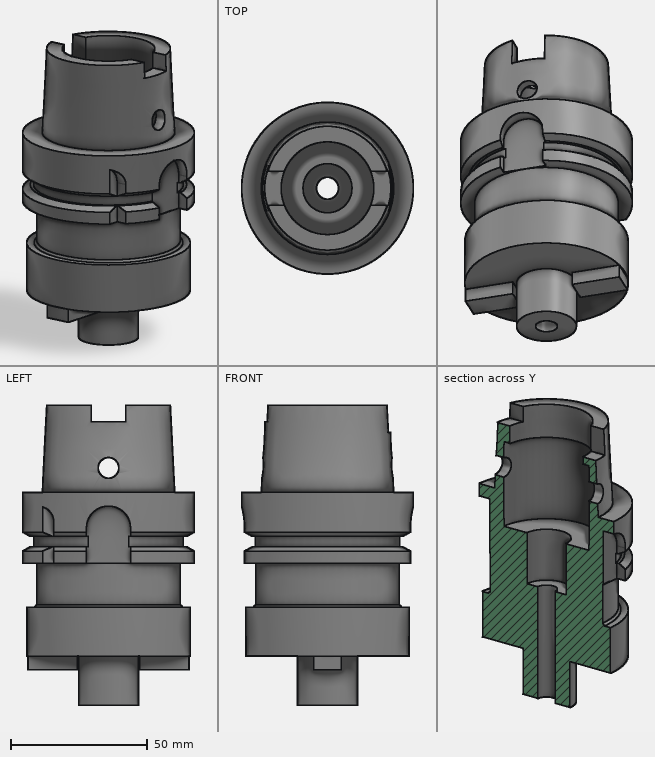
import cadquery as cq
import math


TAPER_LENGTH = 32.0
TAPER_BASE_RADIUS = 24.3
TAPER_SLOPE = 1 / 20
TAPER_TOP_RADIUS = TAPER_BASE_RADIUS - TAPER_SLOPE * TAPER_LENGTH

FLANGE_RADIUS = 31.5
FLANGE_BOTTOM_Z = -26.0
GROOVE_CENTRE_Z = -18.0
GROOVE_FLOOR_RADIUS = 27.5
GROOVE_FLOOR_WIDTH = 3.75
GROOVE_MOUTH_WIDTH = 7.0
GROOVE_SIDE_ANGLE = math.radians(30)
GROOVE_SIDE_HEIGHT = (GROOVE_MOUTH_WIDTH - GROOVE_FLOOR_WIDTH) / 2
GROOVE_LIP_RADIUS = FLANGE_RADIUS - GROOVE_SIDE_HEIGHT / math.tan(GROOVE_SIDE_ANGLE)

NECK_RADIUS = 26.35
NECK_FLARE = 0.9
COLLAR_RADIUS = 30.0
COLLAR_TOP_Z = -42.0
COLLAR_BOTTOM_Z = -60.0
PILOT_RADIUS = 11.0
PILOT_LENGTH = 18.0
PILOT_BOTTOM_Z = COLLAR_BOTTOM_Z - PILOT_LENGTH

MOUTH_RADIUS = 17.0
MOUTH_DEPTH = 13.0
CHAMBER_RADIUS = 19.75
CHAMBER_FLOOR_Z = -14.0
THREAD_BORE_RADIUS = 9.0
THREAD_BORE_DEPTH = 20.0
COOLANT_RADIUS = 4.0

DRIVE_SLOT_WIDTH = 12.5
DRIVE_SLOT_DEPTH_MINUS_X = 6.0
DRIVE_SLOT_DEPTH_PLUS_X = 10.0

RADIAL_HOLE_DIAMETER = 7.5
RADIAL_HOLE_Z = 9.0

CUT_TOP_Z = -5.0
GRIPPER_SLOT_WIDTH = 16.2
GRIPPER_SLOT_FLOOR_X = 26.5
INDEX_NOTCH_WIDTH = 12.0
INDEX_NOTCH_FLOOR_X = 20.2
INDEX_NOTCH_INNER_Y = 20.0

KEY_WIDTH = 10.0
KEY_HEIGHT = 5.0
KEY_INNER_Y = 11.4
KEY_OUTER_Y = math.sqrt(COLLAR_RADIUS**2 - (KEY_WIDTH / 2) ** 2)


def revolved(outline):
    """Solid of revolution about Z from a closed (radius, Z) half outline, swept from the -Y side."""
    radial_plane = cq.Plane(origin=(0, 0, 0), xDir=(0, -1, 0), normal=(-1, 0, 0))
    return cq.Workplane(radial_plane).polyline(outline).close().revolve(360, (0, 0), (0, 1))


def turned_body():
    """Outside of the arbor, revolved from its (radius, Z) half outline."""
    half_floor = GROOVE_FLOOR_WIDTH / 2
    half_mouth = GROOVE_MOUTH_WIDTH / 2
    outline = [
        (0, TAPER_LENGTH),
        (TAPER_TOP_RADIUS, TAPER_LENGTH),
        (TAPER_BASE_RADIUS, 0),
        (FLANGE_RADIUS, 0),
        (FLANGE_RADIUS, GROOVE_CENTRE_Z + half_mouth),
        (GROOVE_LIP_RADIUS, GROOVE_CENTRE_Z + half_floor),
        (GROOVE_FLOOR_RADIUS, GROOVE_CENTRE_Z + half_floor),
        (GROOVE_FLOOR_RADIUS, GROOVE_CENTRE_Z - half_floor),
        (GROOVE_LIP_RADIUS, GROOVE_CENTRE_Z - half_floor),
        (FLANGE_RADIUS, GROOVE_CENTRE_Z - half_mouth),
        (FLANGE_RADIUS, FLANGE_BOTTOM_Z),
        (NECK_RADIUS, FLANGE_BOTTOM_Z),
        (NECK_RADIUS, COLLAR_TOP_Z + NECK_FLARE),
        (NECK_RADIUS + NECK_FLARE, COLLAR_TOP_Z),
        (COLLAR_RADIUS, COLLAR_TOP_Z),
        (COLLAR_RADIUS, COLLAR_BOTTOM_Z),
        (PILOT_RADIUS, COLLAR_BOTTOM_Z),
        (PILOT_RADIUS, PILOT_BOTTOM_Z),
        (0, PILOT_BOTTOM_Z),
    ]
    return revolved(outline)


def stepped_bore():
    """Inside of the arbor: mouth, wider chamber, thread bore and coolant passage."""
    chamber_top_z = TAPER_LENGTH - MOUTH_DEPTH
    thread_bore_floor_z = CHAMBER_FLOOR_Z - THREAD_BORE_DEPTH
    outline = [
        (0, TAPER_LENGTH),
        (MOUTH_RADIUS, TAPER_LENGTH),
        (MOUTH_RADIUS, chamber_top_z),
        (CHAMBER_RADIUS, chamber_top_z),
        (CHAMBER_RADIUS, CHAMBER_FLOOR_Z),
        (THREAD_BORE_RADIUS, CHAMBER_FLOOR_Z),
        (THREAD_BORE_RADIUS, thread_bore_floor_z),
        (COOLANT_RADIUS, thread_bore_floor_z),
        (COOLANT_RADIUS, PILOT_BOTTOM_Z),
        (0, PILOT_BOTTOM_Z),
    ]
    return revolved(outline)


def drive_slot(side, depth):
    """Slot from the axis outwards on one X side of the taper's open end."""
    return (
        cq.Workplane("XY")
        .box(TAPER_BASE_RADIUS, DRIVE_SLOT_WIDTH, depth)
        .translate((side * TAPER_BASE_RADIUS / 2, 0, TAPER_LENGTH - depth / 2))
    )


def radial_hole():
    """Hole along X through both walls of the taper."""
    return (
        cq.Workplane("YZ")
        .center(0, RADIAL_HOLE_Z)
        .circle(RADIAL_HOLE_DIAMETER / 2)
        .extrude(TAPER_BASE_RADIUS, both=True)
    )


def round_topped_cut(side, centre_y, width, floor_x):
    """Cut with a half-round top, from a flat floor at floor_x outwards past the flange rim."""
    radius = width / 2
    arc_centre_z = CUT_TOP_Z - radius
    return (
        cq.Workplane("YZ", origin=(side * floor_x, 0, 0))
        .moveTo(centre_y - radius, FLANGE_BOTTOM_Z)
        .lineTo(centre_y - radius, arc_centre_z)
        .threePointArc((centre_y, CUT_TOP_Z), (centre_y + radius, arc_centre_z))
        .lineTo(centre_y + radius, FLANGE_BOTTOM_Z)
        .close()
        .extrude(side * (FLANGE_RADIUS - floor_x))
    )


def driving_key(side):
    """Rectangular key under the collar on one Y side."""
    length = KEY_OUTER_Y - KEY_INNER_Y
    centre_y = side * (KEY_INNER_Y + KEY_OUTER_Y) / 2
    return (
        cq.Workplane("XY")
        .box(KEY_WIDTH, length, 2 * KEY_HEIGHT)
        .translate((0, centre_y, COLLAR_BOTTOM_Z))
    )


result = turned_body().cut(stepped_bore())
result = result.cut(drive_slot(-1, DRIVE_SLOT_DEPTH_MINUS_X))
result = result.cut(drive_slot(1, DRIVE_SLOT_DEPTH_PLUS_X))
result = result.cut(radial_hole())

for side in (-1, 1):
    result = result.cut(round_topped_cut(side, 0, GRIPPER_SLOT_WIDTH, GRIPPER_SLOT_FLOOR_X))
    result = result.union(driving_key(side))

index_notch_centre_y = INDEX_NOTCH_INNER_Y + INDEX_NOTCH_WIDTH / 2
result = result.cut(round_topped_cut(-1, index_notch_centre_y, INDEX_NOTCH_WIDTH, INDEX_NOTCH_FLOOR_X))